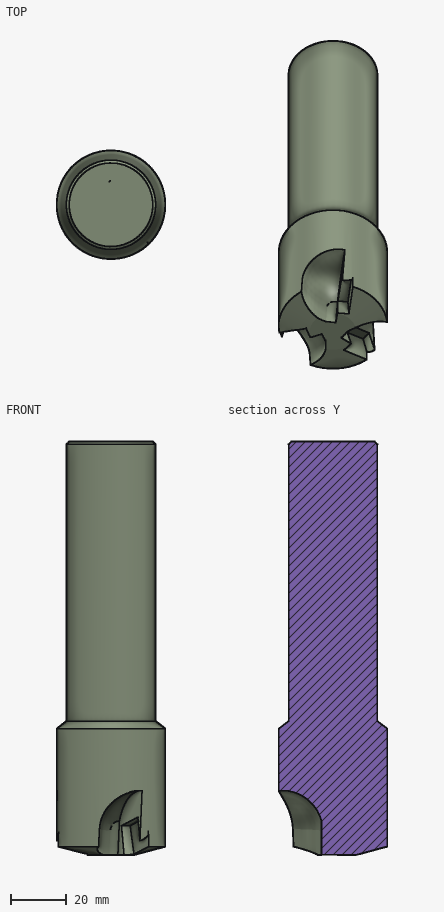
import cadquery as cq
import math

total_length = 148.1
shank_radius = 16.0
head_radius = 19.48
head_height = 45.3
shoulder_height = 2.7
shank_chamfer = 1.0
tip_angle = 15.0
tip_flat_radius = 8.3
tip_cone_height = (head_radius - tip_flat_radius) * math.tan(math.radians(tip_angle))

pocket_count = 3
first_pocket_angle = 180.0
pocket_radius = 14.5
pocket_axis_distance = 18.2
pocket_ball_height = 8.6
pocket_floor_distance = 4.1
pocket_wall_offset = 0.5
axial_rake = 3.0

seat_size = 11.8
seat_depth_offset = 4.6
seat_corner_distance = 5.8
seat_corner_height = 10.5
seat_tilt = 15.0

clearance = 14.8


def make_body():
    return (
        cq.Workplane("XZ")
        .moveTo(0, 0)
        .lineTo(tip_flat_radius, 0)
        .lineTo(head_radius, tip_cone_height)
        .lineTo(head_radius, head_height)
        .lineTo(shank_radius, head_height + shoulder_height)
        .lineTo(shank_radius, total_length - shank_chamfer)
        .lineTo(shank_radius - shank_chamfer, total_length)
        .lineTo(0, total_length)
        .close()
        .revolve(360, (0, 0, 0), (0, 1, 0))
    )


def make_chip_pocket():
    """Half of a ball-ended cutter, pointing along +X, with a flat wall facing -Y."""
    cutter = (
        cq.Workplane("XY", origin=(pocket_axis_distance, 0, -clearance))
        .circle(pocket_radius)
        .extrude(pocket_ball_height + clearance)
    )
    ball = cq.Workplane("XY").sphere(pocket_radius)
    cutter = cutter.union(ball.translate((pocket_axis_distance, 0, pocket_ball_height)))
    span = 4 * pocket_radius
    keep = cq.Workplane("XY").box(span, span, span, centered=(False, False, True))
    keep = keep.translate((pocket_floor_distance, -span, 0))
    raked = cutter.intersect(keep).rotate((0, 0, 0), (1, 0, 0), -axial_rake)
    return raked.translate((0, pocket_wall_offset, 0))


def make_insert_seat():
    """Tilted square recess, open at the tip, hung from its inner top corner."""
    seat = cq.Workplane("XY").box(
        seat_size, seat_depth_offset, seat_size + clearance, centered=(False, False, False)
    )
    seat = seat.translate((0, 0, -seat_size - clearance))
    seat = seat.rotate((0, 0, 0), (0, 1, 0), -seat_tilt)
    return seat.translate((seat_corner_distance, 0, seat_corner_height))


result = make_body()
pocket = make_chip_pocket()
seat = make_insert_seat()
for index in range(pocket_count):
    angle = first_pocket_angle + index * 360.0 / pocket_count
    for cutter in (pocket, seat):
        result = result.cut(cutter.rotate((0, 0, 0), (0, 0, 1), angle))